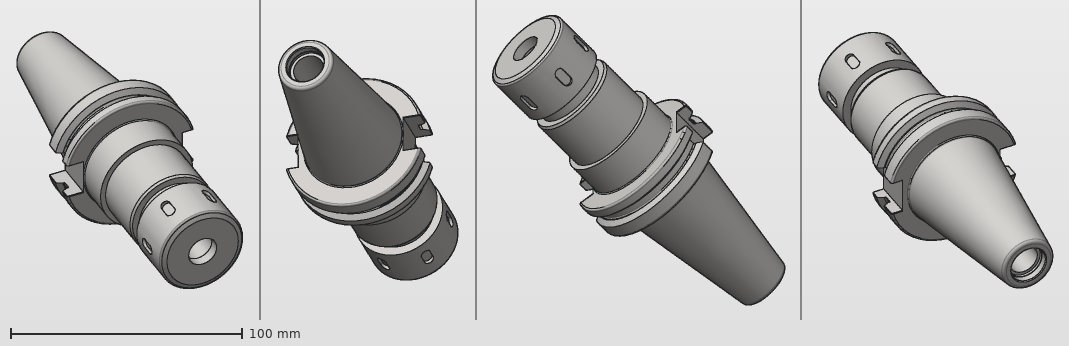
import cadquery as cq
import math

TAPER_END = 68.4
FLANGE_START = 69.3
FLANGE_END = 87.4
SHOULDER_END = 103.3
BARREL_END = 128.5
NUT_START = 134.4
NUT_END = 158.2

TAPER_D = 44.5
TAPER_RATE = 7 / 24
TAPER_TIP_FILLET = 1.6
FLANGE_D = 63.3
FLANGE_RIM_FILLET = 1.0
FLANGE_BASE_FILLET = 0.5
BARREL_D = 39.5
BARREL_CHAMFER = 1.3
BARREL_CHAMFER_DEPTH = 0.6
NECK_D = 32.1

GROOVE_CENTER = 79.5
GROOVE_FLOOR_WIDTH = 3.8
GROOVE_FLOOR_D = 56.0
GROOVE_STEP_D = 57.9
GROOVE_SIDE_ANGLE = 30.0
GROOVE_FLOOR_FILLET = 0.5

DRIVE_SLOT_WIDTH = 16.1
DRIVE_SLOT_EDGE_CHAMFER = 0.3
DRIVE_SLOT_FLOOR_MINUS_Y = -22.6
DRIVE_SLOT_FLOOR_PLUS_Y = 25.0

MOUTH_D = 17.5
MOUTH_CHAMFER = 0.5
COUNTERBORE_D = 16.8
COUNTERBORE_DEPTH = 3.5
STEP_BORE_D = 16.3
STEP_BORE_DEPTH = 4.7
THROUGH_BORE_D = 13.5

NUT_D = 40.0
NUT_FRONT_WALL = 4.7
NUT_EDGE_FILLET = 0.8
NUT_NOSE_LENGTH = 1.0
NUT_NOSE_SETBACK = 2.8
SPANNER_SLOT_COUNT = 6
SPANNER_SLOT_CENTER = 144.5
SPANNER_SLOT_LENGTH = 9.3
SPANNER_SLOT_WIDTH = 4.5
SPANNER_SLOT_DEPTH = 1.6


def revolve_about_x(outline):
    """Close an XY outline and turn it around the X axis."""
    return outline.close().revolve(360, (0, 0, 0), (1, 0, 0))


def cylinder(diameter, start, end):
    """Solid cylinder along X between two stations."""
    return cq.Workplane("YZ", origin=(start, 0, 0)).circle(diameter / 2).extrude(end - start)


def taper_shank():
    tip_d = TAPER_D - TAPER_RATE * TAPER_END
    outline = (
        cq.Workplane("XY")
        .moveTo(0, 0)
        .lineTo(0, tip_d / 2)
        .lineTo(TAPER_END, TAPER_D / 2)
        .lineTo(FLANGE_START, TAPER_D / 2)
        .lineTo(FLANGE_START, 0)
    )
    return revolve_about_x(outline).faces("<X").edges().fillet(TAPER_TIP_FILLET)


def gripper_groove():
    outer_r = FLANGE_D / 2
    half_floor = GROOVE_FLOOR_WIDTH / 2
    slope_run = (outer_r - GROOVE_STEP_D / 2) * math.tan(math.radians(GROOVE_SIDE_ANGLE))
    half_mouth = half_floor + slope_run
    outline = (
        cq.Workplane("XY")
        .moveTo(GROOVE_CENTER - half_mouth, outer_r)
        .lineTo(GROOVE_CENTER - half_floor, GROOVE_STEP_D / 2)
        .lineTo(GROOVE_CENTER - half_floor, GROOVE_FLOOR_D / 2)
        .lineTo(GROOVE_CENTER + half_floor, GROOVE_FLOOR_D / 2)
        .lineTo(GROOVE_CENTER + half_floor, GROOVE_STEP_D / 2)
        .lineTo(GROOVE_CENTER + half_mouth, outer_r)
    )
    floor_corners = cq.selectors.RadiusNthSelector(0)
    return revolve_about_x(outline).edges(floor_corners).fillet(GROOVE_FLOOR_FILLET)


def drive_slot(floor_y):
    """Cutter open to the outside, with its flat floor at the given Y."""
    flange_length = FLANGE_END - FLANGE_START
    depth = math.copysign(FLANGE_D / 2, floor_y)
    center = ((FLANGE_START + FLANGE_END) / 2, floor_y + depth / 2, 0)
    return cq.Workplane("XY").box(flange_length, abs(depth), DRIVE_SLOT_WIDTH).translate(center)


def fillet_flange_base(body, station):
    """Round the inside corner where the flange side at this X station meets the round beside it."""
    reach = FLANGE_BASE_FILLET / 2
    circles_here = cq.selectors.BoxSelector(
        (station - reach, -reach, -reach),
        (station + reach, reach, reach),
    )
    return body.edges(circles_here).edges(cq.selectors.RadiusNthSelector(0)).fillet(FLANGE_BASE_FILLET)


def front_body():
    """Shoulder, barrel and the neck that carries the nut."""
    shoulder = cylinder(TAPER_D, FLANGE_END, SHOULDER_END)
    barrel_r = BARREL_D / 2
    barrel = revolve_about_x(
        cq.Workplane("XY")
        .moveTo(SHOULDER_END, 0)
        .lineTo(SHOULDER_END, barrel_r)
        .lineTo(BARREL_END - BARREL_CHAMFER, barrel_r)
        .lineTo(BARREL_END, barrel_r - BARREL_CHAMFER_DEPTH)
        .lineTo(BARREL_END, 0)
    )
    neck = cylinder(NECK_D, BARREL_END, NUT_END - NUT_FRONT_WALL)
    return shoulder.union(barrel).union(neck)


def holder_bores():
    through = cylinder(THROUGH_BORE_D, 0, NUT_END)
    step = cylinder(STEP_BORE_D, 0, STEP_BORE_DEPTH)
    counterbore = cylinder(COUNTERBORE_D, 0, COUNTERBORE_DEPTH)
    mouth = revolve_about_x(
        cq.Workplane("XY")
        .moveTo(0, 0)
        .lineTo(0, MOUTH_D / 2)
        .lineTo(MOUTH_CHAMFER, COUNTERBORE_D / 2)
        .lineTo(MOUTH_CHAMFER, 0)
    )
    return through.union(step).union(counterbore).union(mouth)


def make_holder():
    flange = cylinder(FLANGE_D, FLANGE_START, FLANGE_END).edges("%CIRCLE").fillet(FLANGE_RIM_FILLET)
    body = taper_shank().union(flange).union(front_body())
    for station in (FLANGE_START, FLANGE_END):
        body = fillet_flange_base(body, station)
    for floor_y in (DRIVE_SLOT_FLOOR_MINUS_Y, DRIVE_SLOT_FLOOR_PLUS_Y):
        body = body.cut(drive_slot(floor_y))
    body = body.edges("|Y").chamfer(DRIVE_SLOT_EDGE_CHAMFER)
    return body.cut(gripper_groove()).cut(holder_bores())


def spanner_slot(angle):
    """Flat-bottomed rounded slot sunk from the -Y side, turned about X by the angle."""
    floor_y = -(NUT_D / 2 - SPANNER_SLOT_DEPTH)
    slot = (
        cq.Workplane("XZ", origin=(SPANNER_SLOT_CENTER, floor_y, 0))
        .slot2D(SPANNER_SLOT_LENGTH, SPANNER_SLOT_WIDTH)
        .extrude(2 * SPANNER_SLOT_DEPTH)
    )
    return slot.rotate((0, 0, 0), (1, 0, 0), angle)


def make_nut():
    nut_r = NUT_D / 2
    nose_start = NUT_END - NUT_NOSE_LENGTH
    fillet_start = nose_start - NUT_EDGE_FILLET
    fillet_center_r = nut_r - NUT_EDGE_FILLET
    arc_offset = NUT_EDGE_FILLET * math.sqrt(0.5)
    outline = (
        cq.Workplane("XY")
        .moveTo(NUT_START, 0)
        .lineTo(NUT_START, nut_r)
        .lineTo(fillet_start, nut_r)
        .threePointArc(
            (fillet_start + arc_offset, fillet_center_r + arc_offset),
            (nose_start, fillet_center_r),
        )
        .lineTo(NUT_END, nut_r - NUT_NOSE_SETBACK)
        .lineTo(NUT_END, 0)
    )
    body = revolve_about_x(outline)
    body = body.cut(cylinder(NECK_D, NUT_START, NUT_END - NUT_FRONT_WALL))
    body = body.cut(cylinder(THROUGH_BORE_D, NUT_START, NUT_END))
    for i in range(SPANNER_SLOT_COUNT):
        body = body.cut(spanner_slot(i * 360 / SPANNER_SLOT_COUNT))
    return body


holder = make_holder()
nut = make_nut()
result = cq.Compound.makeCompound([holder.val(), nut.val()])